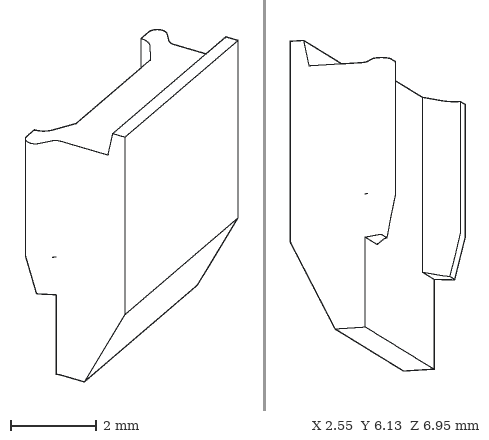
import cadquery as cq
import math

TOTAL_HEIGHT = 6.95
SHELF_Z = 6.33
TAPER_START_Z = 3.175
TIP_Z = 2.15

DEPTH = 2.55
BODY_FRONT_X = 0.695
BEVEL_BOTTOM_X = 1.445
LIP_BASE_X = 2.085
LIP_TOP_X = 2.22

HALF_SPAN = 3.065
BODY_HALF_WIDTH = 2.63
NOSE_RADIUS = 0.235
ROOT_FILLET_END_X = 0.805
ROOT_FILLET_RADIUS = 0.24
FLANK_ANGLE = math.radians(48)
INNER_ANGLE = math.radians(60)
INNER_RADIUS = 0.44
INNER_FRONT_Y = 2.475
INNER_ROOT_Y = 1.725

TIP_FRONT_X = 0.235
TIP_NOSE_RADIUS = 0.052
TIP_HALF_SPAN = 2.83
TIP_FLANK_ANGLE = math.radians(23)
TIP_FLANK_END_X = 0.675
OVERLAP = 0.07


def on_circle(center_x, center_y, radius, angle):
    return (center_x + radius * math.cos(angle), center_y + radius * math.sin(angle))


def root_fillet_point(angle):
    """Point on the concave root fillet, where the wall slopes at the given angle."""
    center_y = BODY_HALF_WIDTH + ROOT_FILLET_RADIUS
    return on_circle(ROOT_FILLET_END_X, center_y, ROOT_FILLET_RADIUS, -math.pi / 2 - angle)


corner_angle = math.asin((ROOT_FILLET_END_X - BODY_FRONT_X) / ROOT_FILLET_RADIUS)
body_corner = root_fillet_point(corner_angle)
fillet_mid_lower = root_fillet_point(corner_angle / 2)
fillet_end = root_fillet_point(0)


def make_body():
    corner_x, corner_y = body_corner
    mid_x, mid_y = fillet_mid_lower
    end_x, end_y = fillet_end
    plan = (
        cq.Workplane("XY")
        .moveTo(corner_x, -corner_y)
        .lineTo(corner_x, corner_y)
        .threePointArc((mid_x, mid_y), (end_x, end_y))
        .lineTo(DEPTH, end_y)
        .lineTo(DEPTH, -end_y)
        .lineTo(end_x, -end_y)
        .threePointArc((mid_x, -mid_y), (corner_x, -corner_y))
        .close()
        .extrude(TOTAL_HEIGHT)
    )
    side = (
        cq.Workplane("XZ")
        .polyline([
            (BODY_FRONT_X, 0),
            (BEVEL_BOTTOM_X, 0),
            (DEPTH, TIP_Z),
            (DEPTH, TOTAL_HEIGHT),
            (LIP_TOP_X, TOTAL_HEIGHT),
            (LIP_BASE_X, SHELF_Z),
            (BODY_FRONT_X, SHELF_Z),
        ])
        .close()
        .extrude(HALF_SPAN, both=True)
    )
    return plan.intersect(side)


def make_straight_wing():
    """Full-height wing: rounded nose, sloped outer flank and hollow inner flank."""
    nose_y = HALF_SPAN - NOSE_RADIUS
    nose_end_angle = math.pi / 2 - FLANK_ANGLE
    nose_mid_angle = (math.pi + nose_end_angle) / 2
    inner_center_y = INNER_FRONT_Y - INNER_RADIUS
    inner_end = on_circle(0, inner_center_y, INNER_RADIUS, math.pi / 2 - INNER_ANGLE)
    inner_mid = on_circle(0, inner_center_y, INNER_RADIUS, (math.pi - INNER_ANGLE) / 2)
    return (
        cq.Workplane("XY", origin=(0, 0, TIP_Z))
        .moveTo(0, INNER_FRONT_Y)
        .lineTo(0, nose_y)
        .threePointArc(
            on_circle(NOSE_RADIUS, nose_y, NOSE_RADIUS, nose_mid_angle),
            on_circle(NOSE_RADIUS, nose_y, NOSE_RADIUS, nose_end_angle),
        )
        .lineTo(*root_fillet_point(FLANK_ANGLE))
        .threePointArc(root_fillet_point(FLANK_ANGLE / 2), fillet_end)
        .lineTo(ROOT_FILLET_END_X, INNER_ROOT_Y)
        .lineTo(BODY_FRONT_X, INNER_ROOT_Y)
        .lineTo(*inner_end)
        .threePointArc(inner_mid, (0, INNER_FRONT_Y))
        .close()
        .extrude(SHELF_Z - TIP_Z)
    )


def taper_section(height, front_x, half_span, radius, flank_angle, flank_end):
    """Closed wire of the outer skin of the tip at one height."""
    center = (front_x + radius, half_span - radius)
    nose_end_angle = math.pi / 2 - flank_angle
    nose_mid_angle = (math.pi + nose_end_angle) / 2
    return (
        cq.Workplane("XY", origin=(0, 0, height))
        .moveTo(front_x, INNER_ROOT_Y)
        .lineTo(front_x, center[1])
        .threePointArc(
            on_circle(*center, radius, nose_mid_angle),
            on_circle(*center, radius, nose_end_angle),
        )
        .lineTo(*flank_end)
        .lineTo(*body_corner)
        .lineTo(BODY_FRONT_X + OVERLAP, BODY_HALF_WIDTH)
        .lineTo(BODY_FRONT_X + OVERLAP, INNER_ROOT_Y)
        .close()
        .wire()
        .val()
    )


def make_wing():
    """Wing whose lower end is trimmed on the front and outer sides, not the inner one."""
    wing = make_straight_wing()
    upper = taper_section(
        TAPER_START_Z, 0, HALF_SPAN, NOSE_RADIUS, FLANK_ANGLE, root_fillet_point(FLANK_ANGLE)
    )
    lower = taper_section(
        TIP_Z, TIP_FRONT_X, TIP_HALF_SPAN, TIP_NOSE_RADIUS, TIP_FLANK_ANGLE,
        (TIP_FLANK_END_X, body_corner[1]),
    )
    taper = cq.Workplane(cq.Solid.makeLoft([lower, upper], True))
    straight_zone = (
        cq.Workplane("XY", origin=(0, 0, TAPER_START_Z))
        .rect(2 * DEPTH, 2 * HALF_SPAN)
        .extrude(TOTAL_HEIGHT - TAPER_START_Z)
    )
    tip = wing.intersect(taper)
    return wing.intersect(straight_zone).union(tip)


wing = make_wing()
result = make_body().union(wing).union(wing.mirror("XZ")).clean()